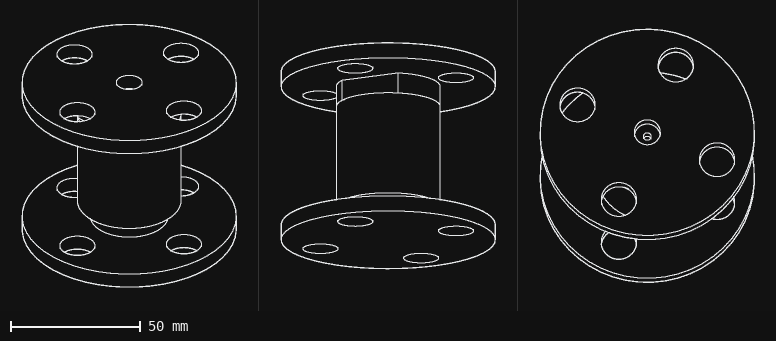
import cadquery as cq
import math

flange_diameter = 82.5
flange_thickness = 6.0
bolt_hole_diameter = 13.5
bolt_circle_diameter = 58.0
bolt_hole_count = 4
centre_hole_diameter = 10.0

barrel_diameter = 40.0
barrel_length = 40.0
collar_length = 8.0
width_across_flats = 32.0
pilot_hole_diameter = 3.0
pilot_hole_depth = 4.95
drill_point_angle = 118.0

neck_diameter = 30.0
neck_length = 7.2

neck_base = flange_thickness
barrel_base = neck_base + neck_length
collar_base = barrel_base + barrel_length
collar_top = collar_base + collar_length


def disc(diameter, height, base):
    """Solid cylinder about the Z axis, standing on the given level."""
    return cq.Workplane("XY").workplane(offset=base).circle(diameter / 2).extrude(height)


def make_flange(base):
    """Round flange with bolt holes on the X and Y axes."""
    bolt_holes = (
        cq.Workplane("XY")
        .workplane(offset=base)
        .polarArray(bolt_circle_diameter / 2, 0, 360, bolt_hole_count)
        .circle(bolt_hole_diameter / 2)
        .extrude(flange_thickness)
    )
    return disc(flange_diameter, flange_thickness, base).cut(bolt_holes)


def make_upper_flange():
    """Flange with an extra hole through its centre."""
    centre_hole = disc(centre_hole_diameter, flange_thickness, collar_top)
    return make_flange(collar_top).cut(centre_hole)


def make_pilot_hole():
    """Blind drilled hole with a conical bottom, open at the top of the collar."""
    radius = pilot_hole_diameter / 2
    shoulder = collar_top - pilot_hole_depth
    tip = shoulder - radius / math.tan(math.radians(drill_point_angle / 2))
    return (
        cq.Workplane("XZ")
        .moveTo(0, tip)
        .lineTo(radius, shoulder)
        .lineTo(radius, collar_top)
        .lineTo(0, collar_top)
        .close()
        .revolve(360, (0, 0, 0), (0, 1, 0))
    )


def make_collar():
    """Round collar with wrench flats on the -Y and +Y sides and a pilot hole in its top face."""
    flats_slab = (
        cq.Workplane("XY")
        .workplane(offset=collar_base)
        .rect(barrel_diameter, width_across_flats)
        .extrude(collar_length)
    )
    return disc(barrel_diameter, collar_length, collar_base).intersect(flats_slab).cut(make_pilot_hole())


lower_flange = make_flange(0)
neck = disc(neck_diameter, neck_length, neck_base)
barrel = disc(barrel_diameter, barrel_length, barrel_base)
collar = make_collar()
upper_flange = make_upper_flange()

result = cq.Compound.makeCompound(
    [lower_flange.val(), neck.val(), barrel.val(), collar.val(), upper_flange.val()]
)